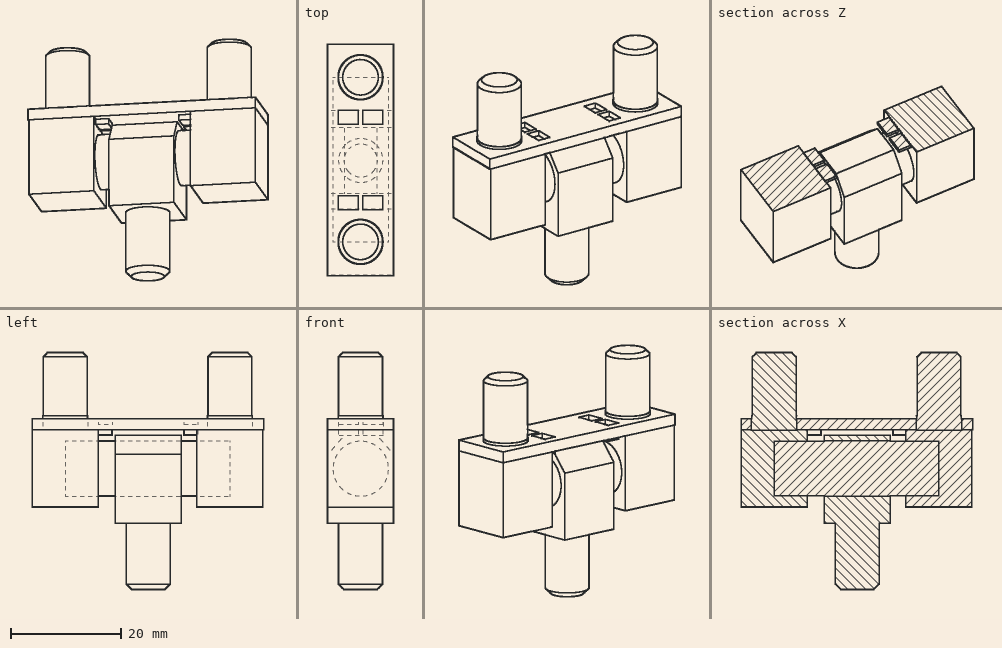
import cadquery as cq

width = 12.0
plate_length = 42.0
plate_thickness = 2.0

block_length = 12.0
block_height = 14.0
block_pitch = 29.85

swivel_height = 16.0
swivel_top_gap = 1.0
swivel_offset = -0.15
bevel_width = 3.0
bevel_height = 3.5

stud_diameter = 8.0
stud_projection = 12.0
stud_chamfer = 0.77
collar_diameter = 8.15
collar_projection = 0.5
swivel_stud_chamfer = 1.0

shaft_diameter = 10.0
shaft_depth = 7.0
socket_depth = 6.0

pocket_width = 3.55
pocket_length = 2.5
pocket_spacing = 4.47
pocket_pitch = 15.5
pocket_depth = 1.0
tab_drop = 1.0

first_block_y = plate_length / 2 - block_length / 2
block_centers = [first_block_y, first_block_y - block_pitch]
mid_y = sum(block_centers) / 2
swivel_y = mid_y + swivel_offset
swivel_bottom = -swivel_top_gap - swivel_height
shaft_length = block_pitch - block_length + 2 * socket_depth


def make_shaft():
    """Plain cross shaft that joins the three blocks."""
    return (
        cq.Workplane("XZ", origin=(0, mid_y + shaft_length / 2, -shaft_depth))
        .circle(shaft_diameter / 2)
        .extrude(shaft_length)
    )


def make_plate():
    """Cover plate with stud holes and four pockets recessed into hanging tabs."""
    centering = (True, True, False)
    plate = cq.Workplane("XY").box(width, plate_length, plate_thickness, centered=centering)
    pockets = cq.Workplane("XY", origin=(0, 0, plate_thickness)).rarray(
        pocket_spacing, pocket_pitch, 2, 2
    )
    tabs = (
        cq.Workplane("XY")
        .rarray(pocket_spacing, pocket_pitch, 2, 2)
        .rect(pocket_width, pocket_length)
        .extrude(-tab_drop)
    )
    plate = plate.union(tabs)
    plate = plate.cut(pockets.rect(pocket_width, pocket_length).extrude(-pocket_depth))
    stud_holes = (
        cq.Workplane("XY")
        .pushPoints([(0, y) for y in block_centers])
        .circle(collar_diameter / 2)
        .extrude(plate_thickness)
    )
    return plate.cut(stud_holes)


def make_end_block(y, shaft, plate):
    """End block with a blind shaft socket and clearance for any tab that reaches into it."""
    block = cq.Workplane("XY", origin=(0, y, -block_height / 2)).box(width, block_length, block_height)
    return block.cut(shaft).cut(plate)


def make_stud(y):
    """Stud standing on an end block, with a collar that fills the plate hole."""
    collar_height = plate_thickness + collar_projection
    shank = (
        cq.Workplane("XY", origin=(0, y, 0))
        .circle(stud_diameter / 2)
        .extrude(plate_thickness + stud_projection)
        .faces(">Z")
        .chamfer(stud_chamfer)
    )
    collar = cq.Workplane("XY", origin=(0, y, 0)).circle(collar_diameter / 2).extrude(collar_height)
    return shank.union(collar)


def make_swivel(shaft):
    """Middle block with bevelled top, shaft bore and a stud pointing down."""
    half_width = width / 2
    top = -swivel_top_gap
    block = (
        cq.Workplane("XZ", origin=(0, swivel_y + block_length / 2, 0))
        .moveTo(-half_width, swivel_bottom)
        .lineTo(half_width, swivel_bottom)
        .lineTo(half_width, top - bevel_height)
        .lineTo(half_width - bevel_width, top)
        .lineTo(-half_width + bevel_width, top)
        .lineTo(-half_width, top - bevel_height)
        .close()
        .extrude(block_length)
    )
    stud = (
        cq.Workplane("XY", origin=(0, swivel_y, swivel_bottom))
        .circle(stud_diameter / 2)
        .extrude(-stud_projection)
        .faces("<Z")
        .chamfer(swivel_stud_chamfer)
    )
    return block.union(stud).cut(shaft)


shaft = make_shaft()
plate = make_plate()
swivel = make_swivel(shaft)
end_blocks = [make_end_block(y, shaft, plate) for y in block_centers]
studs = [make_stud(y) for y in block_centers]

result = cq.Compound.makeCompound(
    [plate.val(), swivel.val(), shaft.val()]
    + [block.val() for block in end_blocks]
    + [stud.val() for stud in studs]
)